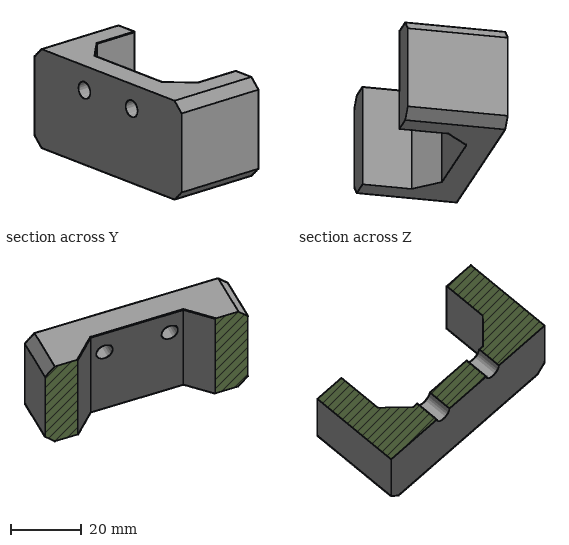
import cadquery as cq

width = 62.25
depth = 29.07
height = 29.75
corner_chamfer = 3.0

cavity_width = 42.5
floor_thickness = 7.8
cavity_corner = 7.05
edge_break = 0.2

hole_diameter = 5.0
hole_spacing = 20.0
hole_drop = 7.375


def make_block():
    """Block spanning Y = 0..depth with its four long edges chamfered."""
    block = cq.Workplane("XY").box(width, depth, height, centered=(True, False, True))
    return block.edges("|Y").chamfer(corner_chamfer)


def cavity_outline(plane, offset=0.0):
    """Closed cavity section with 45 degree corners, widened on every wall by the offset."""
    half_width = cavity_width / 2 + offset
    floor_y = floor_thickness - offset
    corner = cavity_corner + offset * (2 - 2**0.5)
    return (
        plane.moveTo(-half_width, depth)
        .lineTo(-half_width, floor_y + corner)
        .lineTo(-half_width + corner, floor_y)
        .lineTo(half_width - corner, floor_y)
        .lineTo(half_width, floor_y + corner)
        .lineTo(half_width, depth)
        .close()
    )


def make_cavity():
    """Prismatic cavity whose upper rim flares out by a 45 degree edge break."""
    prism = cavity_outline(cq.Workplane("XY", origin=(0, 0, -height / 2))).extrude(height)
    rim_base = cq.Workplane("XY", origin=(0, 0, height / 2 - edge_break))
    lower_section = cavity_outline(rim_base)
    rim = cavity_outline(lower_section.workplane(offset=edge_break), edge_break).loft(ruled=True)
    return prism.union(rim)


def make_holes():
    """Two round holes along Y through the floor plate."""
    plane = cq.Workplane("XZ", origin=(0, 0, height / 2 - hole_drop))
    centers = [(-hole_spacing / 2, 0), (hole_spacing / 2, 0)]
    return plane.pushPoints(centers).circle(hole_diameter / 2).extrude(-depth)


result = make_block().cut(make_cavity()).cut(make_holes())